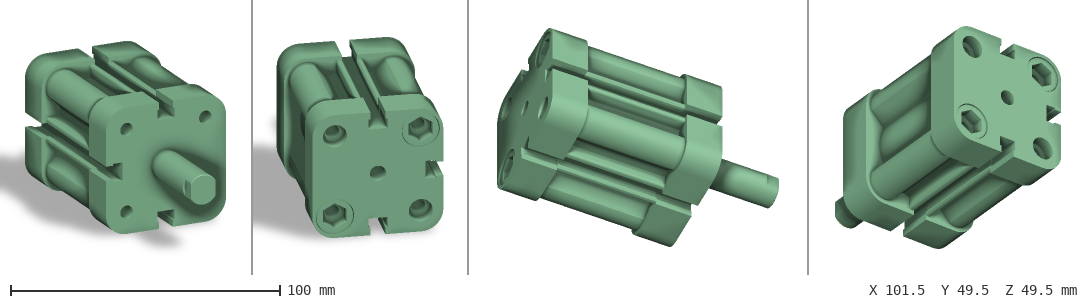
import cadquery as cq
import math

total_length = 101.5
cap_side = 49.5
housing_length = 69.4
rear_cap_length = 14.4
front_cap_length = 14.5

corner_offset = 16.2
corner_bore_diameter = 5.2
counterbore_diameter = 9.0
counterbore_depth = 5.0
port_diameter = 6.1
port_depth = 10.2

cap_slot_floor = 18.0
cap_mouth_width = 5.7
cap_mouth_depth = 2.8
cap_slot_width = 7.1
barrel_mouth_width = 5.1
barrel_mouth_bottom = 21.5
barrel_slot_width = 6.6
barrel_slot_floor = 18.1
slot_corner_chamfer = 0.3
mouth_chamfer = 0.6

barrel_radius = 18.7
lobe_radius = 6.8
web_width = 12.6
web_root_fillet = 1.2
rib_width = 9.9
rib_top = 23.0
rib_edge_fillet = 1.0
rib_root_fillet = 0.8

screw_hole_diameter = 14.4
screw_diameter = 13.9
screw_length = 7.6
screw_recess = 0.5
hex_across_flats = 9.0
hex_depth = 5.2

rod_diameter = 12.0
rod_chamfer = 0.3
rod_flat_width = 10.0
rod_flat_length = 5.3

corner_radius = cap_side / 2 - corner_offset
barrel_length = housing_length - rear_cap_length - front_cap_length
screw_hole_depth = screw_recess + screw_length
front_cap_start = rear_cap_length + barrel_length

SLOT_TURNS = (0, 90, 180)
SCREW_CORNERS = ((-1, 1), (1, -1))
OPEN_CORNERS = ((1, 1), (-1, -1))


def section(x):
    """Workplane across the X axis at x, with local axes along +Y and +Z."""
    return cq.Workplane("YZ", origin=(x, 0, 0))


def corner_points(corners):
    return [(y_sign * corner_offset, z_sign * corner_offset) for y_sign, z_sign in corners]


def block(x, length, width, bottom, top):
    """Box centred on Y, spanning the given X and Z ranges."""
    return section(x).center(0, (bottom + top) / 2).rect(width, top - bottom).extrude(length)


def on_slot_sides(shape):
    """The shape turned to each of the slotted sides."""
    return [shape.rotate((0, 0, 0), (1, 0, 0), turn) for turn in SLOT_TURNS]


def make_cap(x, length):
    cap = section(x).rect(cap_side, cap_side).extrude(length).edges("|X").fillet(corner_radius)
    mouth = block(x, length, cap_mouth_width, cap_slot_floor, cap_side / 2)
    pocket = block(x, length, cap_slot_width, cap_slot_floor, cap_side / 2 - cap_mouth_depth)
    for slot in on_slot_sides(mouth.union(pocket)):
        cap = cap.cut(slot)
    return cap


def lengthwise_edges(shape, min_distance, max_distance):
    """Edges along X whose distance from the X axis lies between the two limits."""

    def in_range(edge):
        middle = edge.Center()
        return min_distance < math.hypot(middle.y, middle.z) < max_distance

    return shape.edges("|X").filter(in_range)


def make_core():
    return section(rear_cap_length).circle(barrel_radius).extrude(barrel_length)


def make_webs():
    """Round core with four diagonal webs, each ending in a round lobe."""
    diagonal = corner_offset * math.sqrt(2)
    barrel = section(rear_cap_length)
    across = barrel.rect(web_width, 2 * diagonal).extrude(barrel_length)
    along = barrel.rect(2 * diagonal, web_width).extrude(barrel_length)
    webs = make_core().union(across).union(along)
    webs = lengthwise_edges(webs, 0, barrel_radius + web_root_fillet).fillet(web_root_fillet)

    lobe_span = 2 * (diagonal + lobe_radius)
    lobes = barrel.polarArray(diagonal, 0, 360, 4).circle(lobe_radius).extrude(barrel_length)
    lobe_bars = barrel.rect(web_width, lobe_span).extrude(barrel_length)
    lobe_bars = lobe_bars.union(barrel.rect(lobe_span, web_width).extrude(barrel_length))
    lobes = lobes.intersect(lobe_bars)
    return webs.union(lobes).rotate((0, 0, 0), (1, 0, 0), 45)


def make_ribs():
    """Round core with a rib on each slotted side."""
    ribs = make_core().rotate((0, 0, 0), (1, 0, 0), 180)
    for rib in on_slot_sides(block(rear_cap_length, barrel_length, rib_width, 0, rib_top)):
        ribs = ribs.union(rib)
    ribs = lengthwise_edges(ribs, 0, barrel_radius + rib_root_fillet).fillet(rib_root_fillet)
    return lengthwise_edges(ribs, rib_top, cap_side).fillet(rib_edge_fillet)


def make_barrel_slot():
    """Sensor slot on the +Z side: a wide pocket below a narrow mouth with chamfered edges."""
    start = rear_cap_length
    pocket = block(start, barrel_length, barrel_slot_width, barrel_slot_floor, barrel_mouth_bottom)
    pocket = pocket.edges("|X and <Z").chamfer(slot_corner_chamfer)
    mouth_edge = barrel_mouth_width / 2
    chamfer_bottom = rib_top - mouth_chamfer
    right_side = [
        (mouth_edge, barrel_slot_floor),
        (mouth_edge, chamfer_bottom),
        (mouth_edge + mouth_chamfer, rib_top),
    ]
    left_side = [(-y, z) for y, z in reversed(right_side)]
    mouth = section(start).polyline(right_side + left_side).close().extrude(barrel_length)
    return pocket.union(mouth)


def make_housing():
    """End caps and slotted barrel in one piece, bored for the screws and the rod port."""
    barrel = make_webs().union(make_ribs())
    for slot in on_slot_sides(make_barrel_slot()):
        barrel = barrel.cut(slot)
    housing = make_cap(0, rear_cap_length).union(barrel)
    housing = housing.union(make_cap(front_cap_start, front_cap_length))

    rear = section(0)
    all_corners = corner_points(SCREW_CORNERS + OPEN_CORNERS)
    bores = rear.pushPoints(all_corners).circle(corner_bore_diameter / 2).extrude(housing_length)
    open_points = corner_points(OPEN_CORNERS)
    counterbores = rear.pushPoints(open_points).circle(counterbore_diameter / 2).extrude(counterbore_depth)
    screw_points = corner_points(SCREW_CORNERS)
    screw_holes = rear.pushPoints(screw_points).circle(screw_hole_diameter / 2).extrude(screw_hole_depth)
    port = rear.circle(port_diameter / 2).extrude(port_depth)
    return housing.cut(bores).cut(counterbores).cut(screw_holes).cut(port)


def make_screw(y, z):
    """Hollow screw, sunk below the rear face, with a hexagon socket whose corners point up and down."""
    seat = section(screw_recess)
    screw = seat.circle(screw_diameter / 2).circle(corner_bore_diameter / 2).extrude(screw_length)
    hex_across_corners = hex_across_flats / math.cos(math.radians(30))
    socket = seat.transformed(rotate=(0, 0, 30)).polygon(6, hex_across_corners).extrude(hex_depth)
    return screw.cut(socket).translate((0, y, z))


def make_rod():
    """Piston rod with a chamfered tip and two flats facing -Y and +Y."""
    rod_length = total_length - housing_length
    rod = section(housing_length).circle(rod_diameter / 2).extrude(rod_length)
    rod = rod.faces(">X").chamfer(rod_chamfer)
    flat_start = total_length - rod_flat_length
    flat_depth = (rod_diameter - rod_flat_width) / 2
    for side in (-1, 1):
        flat = section(flat_start).center(side * (rod_flat_width + flat_depth) / 2, 0)
        rod = rod.cut(flat.rect(flat_depth, rod_diameter).extrude(rod_flat_length))
    return rod


housing = make_housing()
rod = make_rod()
screws = [make_screw(y, z) for y, z in corner_points(SCREW_CORNERS)]

result = cq.Compound.makeCompound(
    [housing.val(), rod.val(), *[screw.val() for screw in screws]]
)